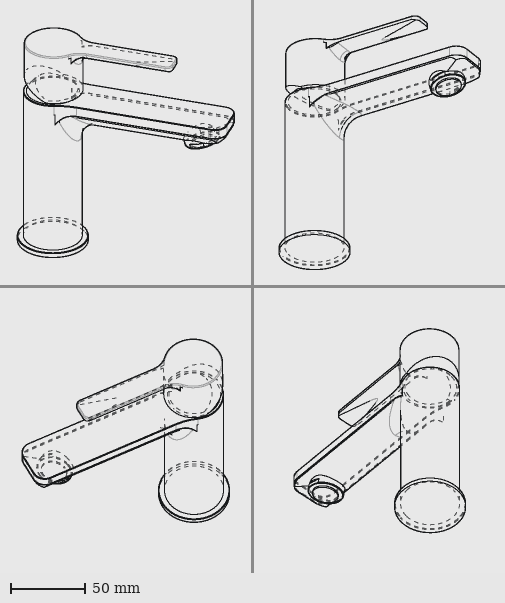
import cadquery as cq
import math

total_length = 150.1
total_height = 154.8

flange_radius = 48.1 / 2
flange_height = 3.5
column_radius = 40.0 / 2
column_top_z = 116.7
edge_break = 0.5

spout_end_x = total_length - flange_radius
spout_half_width = 16.1
spout_straight_x = 22.1
spout_corner_radius = 8.7
spout_side_bottom_z = 109.6
spout_belly_inset = 0.3
spout_belly_half_width = 17.2
spout_belly_edge_z = 113.6
spout_tip_bottom_z = 108.5
spout_belly_bottom_z = 98.1
spout_tip_start_x = 94.4
spout_tip_mid = (114.5, 102.6)
spout_flare_bottom_z = 101.5
spout_flare_start_x = 7.5
spout_root_radius = 15.5

nozzle_tilt = 15.0
nozzle_x = 106.3
nozzle_z = 97.7
collar_radius = 24.5 / 2
collar_height = 6.2
lip_radius = 23.5 / 2
lip_height = 0.6
aerator_radius = 17.6 / 2
aerator_height = 1.9
wrench_flat_offset = 11.1
wrench_flat_height = 3.1

dome_radius = 19.7
dome_center_z = 108.7

head_x = 0.6
head_radius = 40.0 / 2
head_bottom_z = 118.5
head_back_z = 128.8
head_slope_end_x = 1.2
handle_edge_radius = 0.8

lever_end_x = 86.7
lever_half_width = 8.4
lever_straight_x = 26.5
lever_corner_radius = 4.3
lever_side_bottom_z = 152.0
lever_belly_bottom_z = 148.6
lever_tip_start_x = 31.0
lever_tip_mid = (69.7, 149.5)
lever_tip_z = 151.4
lever_flare_bottom_z = 147.5
lever_flare_start_x = 16.7
lever_root_radius = 5.9


def flared_blade_plan(hub_x, hub_radius, half_width, straight_x, end_x, corner_radius):
    """Outline of a round hub whose blade joins it through tangent concave flares."""
    run = straight_x - hub_x
    flare_radius = (run**2 + half_width**2 - hub_radius**2) / (2 * (hub_radius - half_width))
    flare_y = half_width + flare_radius
    hub_angle = math.atan2(flare_y, run)
    hub_point = (hub_x + hub_radius * math.cos(hub_angle), hub_radius * math.sin(hub_angle))
    mid_angle = (hub_angle - math.pi - math.pi / 2) / 2
    mid_point = (
        straight_x + flare_radius * math.cos(mid_angle),
        flare_y + flare_radius * math.sin(mid_angle),
    )

    def mirrored(point):
        return (point[0], -point[1])

    corner_x = end_x - corner_radius
    corner_y = half_width - corner_radius
    return (
        cq.Workplane("XY")
        .moveTo(*hub_point)
        .threePointArc(mid_point, (straight_x, half_width))
        .lineTo(corner_x, half_width)
        .radiusArc((end_x, corner_y), corner_radius)
        .lineTo(end_x, -corner_y)
        .radiusArc((corner_x, -half_width), corner_radius)
        .lineTo(straight_x, -half_width)
        .threePointArc(mirrored(mid_point), mirrored(hub_point))
        .threePointArc((hub_x - hub_radius, 0), hub_point)
        .close()
        .val()
    )


def plan_layer(plan, bottom_z, top_z):
    """Upright solid of a plan outline between two heights."""
    layer = cq.Solid.extrudeLinear(plan, [], cq.Vector(0, 0, top_z - bottom_z))
    return cq.Workplane(obj=layer.moved(cq.Location(cq.Vector(0, 0, bottom_z))))


def make_belly(half_width, top_z, edge_z, bottom_z, tip_start_x, tip_mid, tip_end):
    """Rib with a circular-arc underside that sweeps up toward its tip."""
    end_x = tip_end[0]
    rib = (
        cq.Workplane("YZ")
        .moveTo(-half_width, top_z)
        .lineTo(-half_width, edge_z)
        .threePointArc((0, bottom_z), (half_width, edge_z))
        .lineTo(half_width, top_z)
        .close()
        .extrude(end_x)
    )
    below_tip = (
        cq.Workplane("XZ")
        .moveTo(tip_start_x, bottom_z)
        .threePointArc(tip_mid, tip_end)
        .lineTo(end_x, bottom_z)
        .close()
        .extrude(half_width, both=True)
    )
    return rib.cut(below_tip)


def make_flare_skirt(plan, start_x, bottom_z, end_x, edge_z):
    """Flared side walls continued below the blade, ending along an arched lower edge."""
    rise = edge_z - bottom_z
    run = end_x - start_x
    arch = (
        cq.Workplane("XZ")
        .moveTo(start_x, edge_z)
        .lineTo(start_x, bottom_z)
        .threePointArc((start_x + 0.4 * run, bottom_z + 0.7 * rise), (end_x, edge_z))
        .close()
        .extrude(2 * column_radius, both=True)
    )
    return plan_layer(plan, bottom_z, edge_z).intersect(arch)


def fillet_root(solid, hub_x, hub_radius, bottom_z, top_z, radius):
    """Round the edge where a belly leaves the front of its hub, between two heights."""
    margin = 1.5
    front = cq.selectors.BoxSelector(
        (hub_x + margin, -hub_radius, bottom_z - margin),
        (hub_x + hub_radius + margin, hub_radius, top_z + margin),
    )
    return solid.edges(front).fillet(radius)


def spout_plan(inset):
    return flared_blade_plan(
        0, column_radius, spout_half_width - inset, spout_straight_x, spout_end_x - inset,
        spout_corner_radius,
    )


def make_body():
    flange = cq.Workplane("XY").circle(flange_radius).extrude(flange_height)
    flange = flange.faces(">Z").edges().chamfer(edge_break)
    column = cq.Workplane("XY").circle(column_radius).extrude(column_top_z)
    belly = make_belly(
        spout_belly_half_width, column_top_z, spout_belly_edge_z,
        spout_belly_bottom_z, spout_tip_start_x, spout_tip_mid, (spout_end_x, spout_tip_bottom_z),
    )
    body = fillet_root(
        column.union(belly), 0, column_radius, spout_belly_bottom_z, spout_belly_edge_z,
        spout_root_radius,
    )
    body = body.intersect(plan_layer(spout_plan(spout_belly_inset), 0, column_top_z))
    plan = spout_plan(0)
    slab = plan_layer(plan, spout_side_bottom_z, column_top_z)
    skirt = make_flare_skirt(
        plan, spout_flare_start_x, spout_flare_bottom_z, spout_straight_x, spout_side_bottom_z
    )
    body = body.union(slab).union(skirt)
    body = body.faces(">Z").edges().chamfer(edge_break)
    return body.union(flange)


def make_nozzle():
    """Stepped outlet built around its own axis, then tilted and moved below the spout."""
    collar = cq.Workplane("XY").circle(collar_radius).extrude(collar_height)
    for side in (-1, 1):
        flat_y = side * (wrench_flat_offset + collar_radius / 2)
        flat = cq.Workplane("XY").center(0, flat_y).rect(2 * collar_radius, collar_radius)
        collar = collar.cut(flat.extrude(wrench_flat_height))
    lip = cq.Workplane("XY").circle(lip_radius).extrude(-lip_height)
    aerator = cq.Workplane("XY").circle(aerator_radius).extrude(-aerator_height)
    nozzle = collar.union(lip).union(aerator)
    return nozzle.rotate((0, 0, 0), (0, 1, 0), -nozzle_tilt).translate((nozzle_x, 0, nozzle_z))


def make_dome():
    return cq.Workplane("XY").sphere(dome_radius).translate((0, 0, dome_center_z))


def make_handle():
    head = cq.Workplane("XY", origin=(head_x, 0, head_bottom_z)).circle(head_radius)
    head = head.extrude(total_height - head_bottom_z)
    head_back_x = head_x - head_radius
    below_slope = (
        cq.Workplane("XZ")
        .moveTo(head_back_x, head_bottom_z)
        .lineTo(head_back_x, head_back_z)
        .lineTo(head_slope_end_x, head_bottom_z)
        .close()
        .extrude(head_radius, both=True)
    )
    head = head.cut(below_slope)
    plan = flared_blade_plan(
        head_x, head_radius, lever_half_width, lever_straight_x, lever_end_x, lever_corner_radius
    )
    belly = make_belly(
        lever_half_width, total_height, lever_side_bottom_z, lever_belly_bottom_z,
        lever_tip_start_x, lever_tip_mid, (lever_end_x, lever_tip_z),
    )
    belly = belly.intersect(plan_layer(plan, 0, total_height))
    handle = fillet_root(
        head.union(belly), head_x, head_radius, lever_belly_bottom_z, lever_side_bottom_z,
        lever_root_radius,
    )
    plate = plan_layer(plan, lever_side_bottom_z, total_height)
    skirt = make_flare_skirt(
        plan, lever_flare_start_x, lever_flare_bottom_z, lever_straight_x, lever_side_bottom_z
    )
    handle = handle.union(plate).union(skirt)
    return handle.faces(">Z").edges().fillet(handle_edge_radius)


result = make_body().union(make_dome()).union(make_nozzle()).union(make_handle())